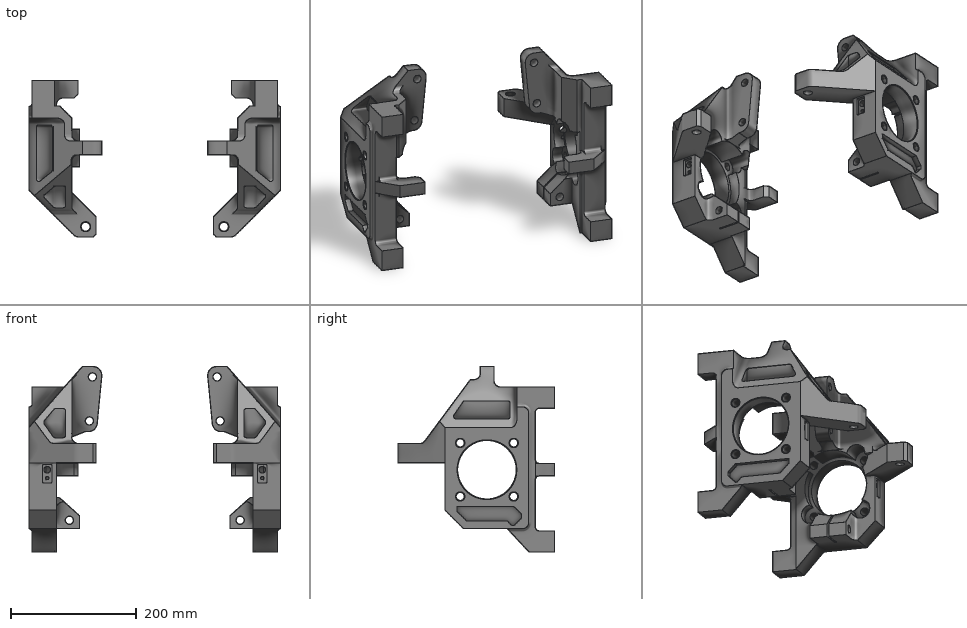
import cadquery as cq
import math


OVERALL_WIDTH = 400.0
BACK_Y = 107.5
TIP_Y = -141.5
TOP_Z = 164.0
BOTTOM_Z = -131.0
SPAN = 400.0
MARGIN = 1.0

HUB_DEPTH = 44.0
HUB_FRONT_Y = -66.7
HUB_BACK_Y = 76.8
HUB_BOTTOM_Z = -93.8
HUB_CHAMFER = 29.7
PAD_HEIGHT = 5.0
PAD_BACK_Y = 66.3
PAD_TOP_Z = 99.7
PAD_CORNER_R = 10.0
PAD_COVE_R = 4.9

BORE_R = 46.5
COUNTERBORE_R = 52.0
COUNTERBORE_X = 27.5
BOLT_OFFSET = 42.5
BOLT_R = 6.4
SPOTFACE_R = 15.0
EDGE_BREAK = 1.0

LUG_NECK_R = 6.8
UPPER_LUG_BOTTOM_Z = 97.5
LUG_INNER_X = 41.0
LOWER_LUG_TOP_Z = -97.3
LOWER_LUG_FRONT_Y = 66.9
LOWER_LUG_ROOT_Y = 32.4
MIDDLE_LUG_HALF_HEIGHT = 10.0
MIDDLE_LUG_INNER_X = 78.2
MIDDLE_LUG_FRONT_Y = 79.5
MIDDLE_LUG_CHAMFER = 6.5

WEB_INNER_X = 68.4
WEB_BACK_Y = 67.1
WEB_BACK_CORNER = 19.5
WEB_TOP_Z = 131.5
SIDE_SLOPE_FOOT_Z = 66.9
SIDE_SLOPE_RISE = 1.14
SIDE_SLOPE_END_Y = 47.8
FRONT_SLOPE_TOP_Y = -26.3
FRONT_SLOPE_TOP_Z = 143.2
COVE_R = 10.0

ARM_BOTTOM_Z = 10.9
ARM_TOP_Z = 41.7
ARM_FOOT_Y = -101.5
ARM_INNER_X = 107.0
ARM_INNER_START_Y = -70.5
ARM_TIP_CHAMFER = 5.0
ARM_TIP_R = 12.0
ARM_HOLE = (90.2, -124.9)
ARM_HOLE_R = 7.0

PLATE_FRONT_Y = -10.7
PLATE_BACK_Y = 11.4
PLATE_TOP_X = 117.5
PLATE_BOTTOM_X = 107.5
PLATE_BOTTOM_Z = 60.3
PLATE_KINK_X = 89.5
PLATE_CORNER_R = 14.5
PLATE_HOLES = [(101.0, 147.3), (96.2, 77.4)]
MOUNT_HOLE_R = 6.3

BRACKET_HALF_WIDTH = 30.0
BRACKET_INNER_X = 80.5
BRACKET_EDGE_Z = -73.0
BRACKET_SLOPE = 0.896
BRACKET_COVE_R = 10.7
BRACKET_HOLE = (64.4, -80.3)
BRACKET_SLIT = 3.0

SIDE_POCKET_OUTLINE = [(36.9, 80.4), (36.9, 109.4), (-36.9, 109.4), (-56.9, 80.4)]
FRONT_POCKET_OUTLINE = [(41.0, 97.2), (58.5, 97.2), (58.5, 50.7), (39.8, 50.7), (22.5, 75.4)]
SIDE_POCKET_X = 39.2
SIDE_POCKET_R = 4.4
FRONT_POCKET_Y = -60.0
FRONT_POCKET_R = 4.6
FACE_POCKET_DEPTH = 9.0
FACE_POCKET_OUTLINE = [
    (42.7, -58.4),
    (-47.3, -58.4),
    (-47.3, -66.5),
    (-32.4, -81.3),
    (32.0, -81.3),
    (39.5, -88.8),
    (43.0, -88.8),
    (55.1, -76.7),
    (55.1, -70.8),
]

SENSOR_X = 29.2
SENSOR_WIDTH = 15.0
SENSOR_TOP_Z = 8.3
SENSOR_BOTTOM_Z = -21.0
SENSOR_DEPTH = 5.0
SENSOR_CORNER_R = 2.0
SENSOR_HOLE_R = 5.3
SENSOR_SCREW_Z = -13.4
SENSOR_SCREW_R = 2.6
SENSOR_SCREW_DEPTH = 12.0


def along_x(outline, start, end):
    """Prism of a (Y, Z) outline between two X positions."""
    return outline(cq.Workplane("YZ", origin=(start, 0, 0))).extrude(end - start)


def along_y(outline, start, end):
    """Prism of an (X, Z) outline between two Y positions."""
    return outline(cq.Workplane("XZ", origin=(0, start, 0))).extrude(start - end)


def along_z(outline, start, end):
    """Prism of an (X, Y) outline between two Z positions."""
    return outline(cq.Workplane("XY", origin=(0, 0, start))).extrude(end - start)


def polygon(points):
    return lambda plane: plane.polyline(points).close()


def circles(centres, radius):
    return lambda plane: plane.pushPoints(centres).circle(radius)


def box(x, y, z):
    """Box given by its (low, high) limits on each axis."""
    size = (x[1] - x[0], y[1] - y[0], z[1] - z[0])
    return cq.Workplane("XY").box(*size, centered=False).translate((x[0], y[0], z[0]))


def concave_corner(plane, corner, away_1, away_2, radius):
    """Closed fillet outline in a square inside corner, opening toward the two given signs."""
    u, v = corner
    end_1 = (u + away_1 * radius, v)
    end_2 = (u, v + away_2 * radius)
    reach = radius * (1 - math.sqrt(0.5))
    middle = (u + away_1 * reach, v + away_2 * reach)
    return plane.moveTo(u, v).lineTo(*end_1).threePointArc(middle, end_2).close()


def hub_with_lugs():
    """Hub plate with the upper and lower rear lugs."""
    body = along_x(
        polygon([
            (HUB_FRONT_Y, ARM_TOP_Z),
            (HUB_FRONT_Y, HUB_BOTTOM_Z + HUB_CHAMFER),
            (HUB_FRONT_Y + HUB_CHAMFER, HUB_BOTTOM_Z),
            (LOWER_LUG_ROOT_Y, HUB_BOTTOM_Z),
            (LOWER_LUG_FRONT_Y, BOTTOM_Z),
            (BACK_Y, BOTTOM_Z),
            (BACK_Y, LOWER_LUG_TOP_Z),
            (HUB_BACK_Y, LOWER_LUG_TOP_Z),
            (HUB_BACK_Y, UPPER_LUG_BOTTOM_Z),
            (BACK_Y, UPPER_LUG_BOTTOM_Z),
            (BACK_Y, WEB_TOP_Z),
            (WEB_BACK_Y, WEB_TOP_Z),
            (WEB_BACK_Y, ARM_TOP_Z),
        ]),
        0,
        HUB_DEPTH,
    )
    necks = cq.selectors.BoxSelector(
        (-MARGIN, HUB_BACK_Y - MARGIN, LOWER_LUG_TOP_Z - MARGIN),
        (HUB_DEPTH + MARGIN, HUB_BACK_Y + MARGIN, UPPER_LUG_BOTTOM_Z + MARGIN),
    )
    body = body.edges("|X").edges(necks).fillet(LUG_NECK_R)
    inner_relief = box((LUG_INNER_X, SPAN), (WEB_BACK_Y, SPAN), (-SPAN, SPAN))
    return body.cut(inner_relief)


def pad_surround():
    """Space around the raised pad, with a cove where it meets the pad's wall."""
    pad = box((0, PAD_HEIGHT), (-SPAN, PAD_BACK_Y), (HUB_BOTTOM_Z, PAD_TOP_Z))
    pad = pad.edges("|X and >Y").fillet(PAD_CORNER_R)
    space = box((0, PAD_HEIGHT), (-SPAN / 2, SPAN), (-SPAN, SPAN)).cut(pad)
    foot = cq.selectors.BoxSelector(
        (PAD_HEIGHT - MARGIN, -SPAN, HUB_BOTTOM_Z - MARGIN),
        (PAD_HEIGHT + MARGIN, PAD_BACK_Y + MARGIN, PAD_TOP_Z + MARGIN),
    )
    return space.edges(foot).fillet(PAD_COVE_R)


def middle_lug():
    """Rear lug at bore height, reaching inward past the hub plate."""
    outer_run = BACK_Y - HUB_BACK_Y
    plan = [
        (PAD_HEIGHT, HUB_BACK_Y),
        (PAD_HEIGHT + outer_run, BACK_Y),
        (MIDDLE_LUG_INNER_X, BACK_Y),
        (MIDDLE_LUG_INNER_X, MIDDLE_LUG_FRONT_Y + MIDDLE_LUG_CHAMFER),
        (MIDDLE_LUG_INNER_X - MIDDLE_LUG_CHAMFER, MIDDLE_LUG_FRONT_Y),
        (HUB_DEPTH, MIDDLE_LUG_FRONT_Y),
        (HUB_DEPTH, HUB_BACK_Y),
    ]
    height = (-MIDDLE_LUG_HALF_HEIGHT, MIDDLE_LUG_HALF_HEIGHT)
    lug = along_z(polygon(plan), *height)
    inner_cove = along_z(
        lambda plane: concave_corner(plane, (HUB_DEPTH, MIDDLE_LUG_FRONT_Y), 1, -1, BRACKET_COVE_R),
        *height,
    )
    root = box((LUG_INNER_X, HUB_DEPTH), (WEB_BACK_Y, MIDDLE_LUG_FRONT_Y), height)
    lug = lug.union(inner_cove).union(root)
    for z, side in ((MIDDLE_LUG_HALF_HEIGHT, 1), (-MIDDLE_LUG_HALF_HEIGHT, -1)):
        neck = along_x(
            lambda plane: concave_corner(plane, (HUB_BACK_Y, z), 1, side, LUG_NECK_R),
            PAD_HEIGHT + LUG_NECK_R,
            LUG_INNER_X,
        )
        lug = lug.union(neck)
    return lug


def web_side_profile(plane):
    """(Y, Z) outline shared by the web, the steering arm and the mounting plate."""
    slope_angle = math.atan2(FRONT_SLOPE_TOP_Z - ARM_TOP_Z, FRONT_SLOPE_TOP_Y - ARM_FOOT_Y)
    tangent = COVE_R * math.tan(slope_angle / 2)
    slope_end = (ARM_FOOT_Y + tangent * math.cos(slope_angle), ARM_TOP_Z + tangent * math.sin(slope_angle))
    foot_middle = (
        ARM_FOOT_Y - tangent + COVE_R * math.sin(slope_angle / 2),
        ARM_TOP_Z + COVE_R * (1 - math.cos(slope_angle / 2)),
    )
    reach = COVE_R * (1 - math.sqrt(0.5))
    return (
        plane.moveTo(TIP_Y, ARM_BOTTOM_Z)
        .lineTo(TIP_Y, ARM_TOP_Z)
        .lineTo(ARM_FOOT_Y - tangent, ARM_TOP_Z)
        .threePointArc(foot_middle, slope_end)
        .lineTo(FRONT_SLOPE_TOP_Y, FRONT_SLOPE_TOP_Z)
        .lineTo(PLATE_FRONT_Y - COVE_R, FRONT_SLOPE_TOP_Z)
        .threePointArc(
            (PLATE_FRONT_Y - reach, FRONT_SLOPE_TOP_Z + reach),
            (PLATE_FRONT_Y, FRONT_SLOPE_TOP_Z + COVE_R),
        )
        .lineTo(PLATE_FRONT_Y, TOP_Z)
        .lineTo(PLATE_BACK_Y, TOP_Z)
        .lineTo(PLATE_BACK_Y, WEB_TOP_Z + COVE_R)
        .threePointArc(
            (PLATE_BACK_Y + reach, WEB_TOP_Z + reach),
            (PLATE_BACK_Y + COVE_R, WEB_TOP_Z),
        )
        .lineTo(WEB_BACK_Y, WEB_TOP_Z)
        .lineTo(WEB_BACK_Y, ARM_BOTTOM_Z)
        .close()
    )


def web_front_profile(plane):
    """(X, Z) outline: the web's inner wall flaring onto the arm's top."""
    reach = COVE_R * (1 - math.sqrt(0.5))
    return (
        plane.moveTo(0, ARM_BOTTOM_Z)
        .lineTo(ARM_INNER_X, ARM_BOTTOM_Z)
        .lineTo(ARM_INNER_X, ARM_TOP_Z)
        .lineTo(WEB_INNER_X + COVE_R, ARM_TOP_Z)
        .threePointArc((WEB_INNER_X + reach, ARM_TOP_Z + reach), (WEB_INNER_X, ARM_TOP_Z + COVE_R))
        .lineTo(WEB_INNER_X, TOP_Z)
        .lineTo(0, TOP_Z)
        .close()
    )


def web_and_arm():
    """Web above the hub and the steering arm, as the overlap of three outlines."""
    arm_outer_run = HUB_FRONT_Y - TIP_Y
    arm_inner_run = ARM_INNER_X - WEB_INNER_X
    arm_root_y = ARM_INNER_START_Y + WEB_INNER_X - HUB_DEPTH
    arm_plan = [
        (0, arm_root_y),
        (0, HUB_FRONT_Y),
        (arm_outer_run, TIP_Y),
        (ARM_INNER_X - ARM_TIP_CHAMFER, TIP_Y),
        (ARM_INNER_X, TIP_Y + ARM_TIP_CHAMFER),
        (ARM_INNER_X, ARM_INNER_START_Y - arm_inner_run),
        (HUB_DEPTH, arm_root_y),
    ]
    web_plan = [
        (0, WEB_BACK_Y),
        (0, HUB_FRONT_Y),
        (WEB_INNER_X, HUB_FRONT_Y - WEB_INNER_X),
        (WEB_INNER_X, WEB_BACK_Y - WEB_BACK_CORNER),
        (WEB_INNER_X - WEB_BACK_CORNER, WEB_BACK_Y),
    ]
    arm = along_z(polygon(arm_plan), ARM_BOTTOM_Z, ARM_TOP_Z + COVE_R)
    outer_tip = cq.selectors.NearestToPointSelector((arm_outer_run, TIP_Y, ARM_TOP_Z))
    arm = arm.edges("|Z").edges(outer_tip).fillet(ARM_TIP_R)
    web = arm.union(along_z(polygon(web_plan), ARM_TOP_Z, TOP_Z))
    web = web.intersect(along_x(web_side_profile, 0, ARM_INNER_X))
    return web.intersect(along_y(web_front_profile, TIP_Y, WEB_BACK_Y))


def mounting_plate():
    """Upper two-hole plate, flared into the web on both faces."""
    height = (ARM_TOP_Z, TOP_Z)
    plate = box((0, SPAN), (PLATE_FRONT_Y, PLATE_BACK_Y), height)
    for y, side in ((PLATE_FRONT_Y, -1), (PLATE_BACK_Y, 1)):
        flare = along_z(lambda plane: concave_corner(plane, (WEB_INNER_X, y), 1, side, COVE_R), *height)
        plate = plate.union(flare)
    outline = along_y(
        polygon([
            (WEB_INNER_X, COUNTERBORE_R),
            (PLATE_KINK_X, PLATE_BOTTOM_Z),
            (PLATE_BOTTOM_X, PLATE_BOTTOM_Z),
            (PLATE_TOP_X, TOP_Z),
            (WEB_INNER_X, TOP_Z),
        ]),
        -SPAN,
        SPAN,
    )
    for corner in ((PLATE_BOTTOM_X, 0, PLATE_BOTTOM_Z), (PLATE_TOP_X, 0, TOP_Z)):
        nearest = cq.selectors.NearestToPointSelector(corner)
        outline = outline.edges("|Y").edges(nearest).fillet(PLATE_CORNER_R)
    return plate.intersect(outline).intersect(along_x(web_side_profile, 0, PLATE_TOP_X))


def lower_bracket():
    """Slit clamp bracket below the bore."""
    bracket_top_z = BRACKET_EDGE_Z + BRACKET_SLOPE * (BRACKET_INNER_X - HUB_DEPTH)
    profile = polygon([
        (HUB_DEPTH, HUB_BOTTOM_Z),
        (BRACKET_INNER_X, HUB_BOTTOM_Z),
        (BRACKET_INNER_X, BRACKET_EDGE_Z),
        (HUB_DEPTH, bracket_top_z),
    ])
    bracket = along_y(profile, -BRACKET_HALF_WIDTH, BRACKET_HALF_WIDTH)
    cove = along_z(
        lambda plane: concave_corner(plane, (HUB_DEPTH, -BRACKET_HALF_WIDTH), 1, -1, BRACKET_COVE_R),
        HUB_BOTTOM_Z,
        0,
    ).intersect(along_y(profile, -SPAN, SPAN))
    front_chamfer = along_x(
        polygon([
            (HUB_FRONT_Y, HUB_BOTTOM_Z + HUB_CHAMFER),
            (HUB_FRONT_Y + HUB_CHAMFER, HUB_BOTTOM_Z),
            (HUB_FRONT_Y, HUB_BOTTOM_Z),
        ]),
        HUB_DEPTH,
        BRACKET_INNER_X,
    )
    cove = cove.cut(front_chamfer)
    slit = box((HUB_DEPTH, SPAN), (-BRACKET_SLIT / 2, BRACKET_SLIT / 2), (-SPAN, 0))
    return bracket.union(cove).cut(slit)


def side_slope_cut():
    """Wedge above the web's outer slope, rounded where the slope meets the rear wall."""
    slope_top_x = (SPAN - SIDE_SLOPE_FOOT_Z) / SIDE_SLOPE_RISE
    overhang = SPAN / 8
    wedge = along_y(
        polygon([
            (-overhang, SIDE_SLOPE_FOOT_Z - overhang * SIDE_SLOPE_RISE),
            (slope_top_x, SPAN),
            (-overhang, SPAN),
        ]),
        -SPAN,
        SIDE_SLOPE_END_Y,
    )
    slope_edge = wedge.faces(">Y").edges("not(|X or |Z)")
    return slope_edge.fillet(COVE_R)


def side_pocket():
    """Pocket into the outer slope of the web."""
    return along_x(polygon(SIDE_POCKET_OUTLINE), 0, SIDE_POCKET_X).edges("|X").fillet(SIDE_POCKET_R)


def front_pocket():
    """Pocket into the front slope of the web."""
    return along_y(polygon(FRONT_POCKET_OUTLINE), TIP_Y, FRONT_POCKET_Y).edges("|Y").fillet(FRONT_POCKET_R)


def face_pocket():
    """Shallow pocket below the bore in the outer face."""
    return along_x(polygon(FACE_POCKET_OUTLINE), 0, FACE_POCKET_DEPTH)


def broken_edge(centre, radius):
    """Conical edge break for a hole that opens in the outer face."""
    plane = cq.Workplane("YZ").center(*centre).circle(radius + EDGE_BREAK)
    return plane.workplane(offset=EDGE_BREAK).circle(radius).loft()


def bore_and_bolt_holes():
    """Bore with its counterbore, and four bolt holes with spot faces."""
    bolts = [(y, z) for y in (-BOLT_OFFSET, BOLT_OFFSET) for z in (-BOLT_OFFSET, BOLT_OFFSET)]
    axis = [(0, 0)]
    tool = along_x(circles(axis, COUNTERBORE_R), COUNTERBORE_X, BRACKET_INNER_X)
    tool = tool.union(along_x(circles(axis, BORE_R), 0, HUB_DEPTH)).union(broken_edge(axis[0], BORE_R))
    for bolt in bolts:
        tool = tool.union(along_x(circles([bolt], SPOTFACE_R), COUNTERBORE_X, BRACKET_INNER_X))
        tool = tool.union(along_x(circles([bolt], BOLT_R), 0, HUB_DEPTH)).union(broken_edge(bolt, BOLT_R))
    return tool


def sensor_recess():
    """Recess in the front of the hub, with a hole into the bore and a screw hole."""
    sides = (SENSOR_X - SENSOR_WIDTH / 2, SENSOR_X + SENSOR_WIDTH / 2)
    floor_y = HUB_FRONT_Y + SENSOR_DEPTH
    recess = box(sides, (HUB_FRONT_Y, floor_y), (SENSOR_BOTTOM_Z, SENSOR_TOP_Z))
    recess = recess.edges("|Y").fillet(SENSOR_CORNER_R)
    sensor_hole = along_y(circles([(SENSOR_X, 0)], SENSOR_HOLE_R), HUB_FRONT_Y, 0)
    screw_hole = along_y(
        circles([(SENSOR_X, SENSOR_SCREW_Z)], SENSOR_SCREW_R), HUB_FRONT_Y, floor_y + SENSOR_SCREW_DEPTH
    )
    return recess.union(sensor_hole).union(screw_hole)


def mounting_holes():
    """Holes through the mounting plate, the lower bracket and the steering arm."""
    plate_holes = along_y(circles(PLATE_HOLES, MOUNT_HOLE_R), PLATE_FRONT_Y, PLATE_BACK_Y)
    bracket_hole = along_y(circles([BRACKET_HOLE], MOUNT_HOLE_R), -SPAN, SPAN)
    arm_hole = along_z(circles([ARM_HOLE], ARM_HOLE_R), ARM_BOTTOM_Z, ARM_TOP_Z)
    arm_edge = (
        cq.Workplane("XY", origin=(0, 0, ARM_TOP_Z - EDGE_BREAK))
        .center(*ARM_HOLE)
        .circle(ARM_HOLE_R)
        .workplane(offset=EDGE_BREAK)
        .circle(ARM_HOLE_R + EDGE_BREAK)
        .loft()
    )
    return plate_holes.union(bracket_hole).union(arm_hole).union(arm_edge)


def left_knuckle():
    """Whole left knuckle as one solid, in its final place."""
    body = hub_with_lugs().union(web_and_arm()).union(mounting_plate())
    body = body.cut(pad_surround()).cut(side_slope_cut())
    body = body.union(middle_lug()).union(lower_bracket())
    for tool in (
        side_pocket(),
        front_pocket(),
        face_pocket(),
        bore_and_bolt_holes(),
        sensor_recess(),
        mounting_holes(),
    ):
        body = body.cut(tool)
    return body.translate((-OVERALL_WIDTH / 2, 0, 0))


left = left_knuckle()
right = left.mirror("YZ")
result = cq.Compound.makeCompound([left.val(), right.val()])